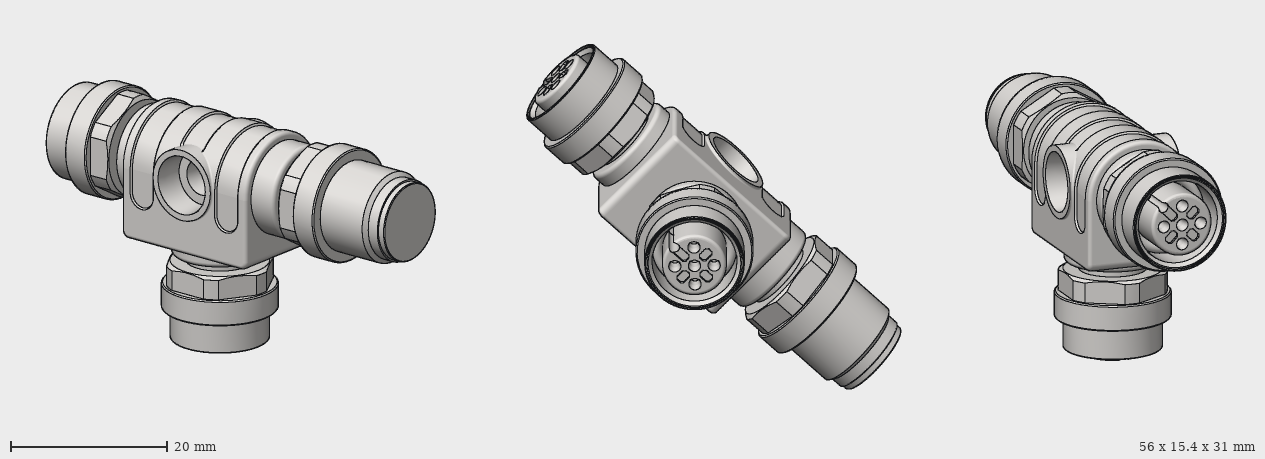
import cadquery as cq
import math


BODY_HALF_LENGTH = 10.3
BODY_WIDTH = 14.5
BODY_RADIUS = BODY_WIDTH / 2
BODY_BOTTOM = 9.45
BODY_CORNER_RADIUS = 1.0
BODY_EDGE_RADIUS = 0.5

RECESS_DEPTH = 0.3
RECESS_HALF_WIDTH = 1.9
RECESS_TAPER = 30.0
RECESS_SPACING = 7.0
RECESS_END_CENTRE = 3.1
RECESS_FLARE = RECESS_DEPTH * math.tan(math.radians(RECESS_TAPER))
RECESS_FLOOR_RADIUS = BODY_RADIUS - RECESS_DEPTH
RECESS_RIM_RADIUS = BODY_RADIUS + RECESS_DEPTH
RECESS_FLOOR_HALF_WIDTH = RECESS_HALF_WIDTH - RECESS_FLARE
RECESS_RIM_HALF_WIDTH = RECESS_HALF_WIDTH + RECESS_FLARE

BOSS_RADIUS = 4.75
BOSS_LENGTH = 15.4
BOSS_HALF_LENGTH = BOSS_LENGTH / 2
BOSS_BASE_RADIUS = 0.2
SELECTION_MARGIN = 0.05
COUNTERBORE_FLOOR_RADIUS = 3.7
COUNTERBORE_DEPTH = 4.0
HOLE_RADIUS = 2.2
BORE_FLARE = 0.2

COLLAR_DIAMETER = 12.5
COLLAR_RADIUS = COLLAR_DIAMETER / 2
COLLAR_EDGE_RADIUS = 0.55
NECK_RADIUS = 4.35
RUN_COLLAR_END = {"female": 12.25, "male": 14.0}
BRANCH_COLLAR_END = 11.15

RING_RADIUS = 7.5
RING_LENGTH = 3.4
RING_CHAMFER = 0.15
HEX_APOTHEM = 6.5
HEX_CORNER_RADIUS = 7.0
HEX_END_RADIUS = 6.4
HEX_CHAMFER_LENGTH = 0.35

FEMALE_RUN_TIP = 24.5
FEMALE_BRANCH_TIP = 23.5
FEMALE_RING_START = 4.9
FEMALE_HEX_LENGTH = 2.95
FEMALE_NECK_END = 12.9
SLEEVE_START = 0.85
SLEEVE_RADIUS = 6.4
SLEEVE_CHAMFER = 0.1
SLEEVE_MOUTH_RADIUS = 6.1
SLEEVE_STEP_DEPTH = 0.2
SLEEVE_CONE_RADIUS = 5.95
SLEEVE_BORE_RADIUS = 5.45
SLEEVE_CONE_END = 0.7
SLEEVE_BORE_DEPTH = 5.6

INSERT_RADIUS = 4.1
INSERT_EDGE_RADIUS = 0.45
CONTACT_CIRCLE_RADIUS = 2.5
CONTACT_HOLE_RADIUS = 0.6
CONTACT_HOLE_MOUTH_RADIUS = 0.8
CONTACT_FUNNEL_DEPTH = 1.1
CONTACT_HOLE_DEPTH = 2.8
POCKET_INNER_RADIUS = 1.25
POCKET_OUTER_RADIUS = 2.9
POCKET_WIDTH = 1.2
POCKET_CORNER = 0.3
POCKET_DEPTH = 0.4
KEY_RADIUS = 0.7
KEY_CENTRE_RADIUS = 3.5
LEFT_KEY_ANGLE = 135
BRANCH_KEY_ANGLE = 180

MALE_RUN_TIP = 31.5
TIP_RADIUS = 5.2
TIP_CHAMFER = 0.1
TIP_LENGTH = 0.95
RELIEF_RADIUS = 5.45
RELIEF_END = 2.45
THREAD_RADIUS = 6.05
THREAD_START = 2.95
MALE_RING_START = 9.9
MALE_HEX_LENGTH = 3.2
MALE_NECK_END = 17.9


def cylinder(radius, start, end):
    """Cylinder on the local Z axis between two heights."""
    return cq.Workplane("XY").workplane(offset=start).circle(radius).extrude(end - start)


def ring(start):
    """Round ring of the coupling nut."""
    return cylinder(RING_RADIUS, start, start + RING_LENGTH).edges().chamfer(RING_CHAMFER)


def hexagon(start, length):
    """Hexagon with rounded corners, two flats facing Y and its far end chamfered."""
    across_corners = 2 * HEX_APOTHEM / math.cos(math.radians(30))
    prism = cq.Workplane("XY").workplane(offset=start).polygon(6, across_corners).extrude(length)
    envelope = (
        cylinder(HEX_CORNER_RADIUS, start, start + length)
        .faces(">Z")
        .edges()
        .chamfer(HEX_CHAMFER_LENGTH, HEX_CORNER_RADIUS - HEX_END_RADIUS)
    )
    return prism.intersect(envelope)


def contact_pocket(outer_radius):
    """Shallow radial pocket along +X with its corners cut off."""
    return (
        cq.Workplane("XY")
        .box(outer_radius - POCKET_INNER_RADIUS, POCKET_WIDTH, POCKET_DEPTH, centered=(False, True, False))
        .edges("|Z")
        .chamfer(POCKET_CORNER)
        .translate((POCKET_INNER_RADIUS, 0, 0))
    )


def contact_insert(key_angle):
    """Contact carrier with five contact holes, four pockets and a key groove at key_angle."""
    end = SLEEVE_START + SLEEVE_BORE_DEPTH
    insert = cylinder(INSERT_RADIUS, 0, end).faces("<Z").edges().fillet(INSERT_EDGE_RADIUS)

    contact = (
        cq.Workplane("XZ")
        .lineTo(CONTACT_HOLE_MOUTH_RADIUS, 0)
        .lineTo(CONTACT_HOLE_RADIUS, CONTACT_FUNNEL_DEPTH)
        .lineTo(CONTACT_HOLE_RADIUS, CONTACT_HOLE_DEPTH)
        .lineTo(0, CONTACT_HOLE_DEPTH)
        .close()
        .revolve(360, (0, 0, 0), (0, 1, 0))
    )
    insert = insert.cut(contact)

    outer_contact = contact.translate((CONTACT_CIRCLE_RADIUS, 0, 0))
    for quarter in range(4):
        pocket_angle = key_angle + 90 * quarter
        pocket = contact_pocket(KEY_CENTRE_RADIUS if quarter == 0 else POCKET_OUTER_RADIUS)
        insert = insert.cut(pocket.rotate((0, 0, 0), (0, 0, 1), pocket_angle))
        insert = insert.cut(outer_contact.rotate((0, 0, 0), (0, 0, 1), pocket_angle + 45))

    key = (
        cylinder(KEY_RADIUS, 0, end)
        .translate((KEY_CENTRE_RADIUS, 0, 0))
        .rotate((0, 0, 0), (0, 0, 1), key_angle)
    )
    return insert.cut(key)


def female_connector(key_angle):
    """Socket connector with its tip at the origin, extending along +Z."""
    ring_end = FEMALE_RING_START + RING_LENGTH
    hex_end = ring_end + FEMALE_HEX_LENGTH
    bore_floor = SLEEVE_START + SLEEVE_BORE_DEPTH
    seal_radius = (SLEEVE_BORE_RADIUS - INSERT_RADIUS) / 2
    seal_centre = INSERT_RADIUS + seal_radius

    sleeve = (
        cylinder(SLEEVE_RADIUS, SLEEVE_START, ring_end)
        .faces("<Z")
        .edges()
        .chamfer(SLEEVE_CHAMFER)
    )
    cavity = (
        cq.Workplane("XZ")
        .moveTo(0, SLEEVE_START)
        .lineTo(SLEEVE_MOUTH_RADIUS, SLEEVE_START)
        .lineTo(SLEEVE_MOUTH_RADIUS, SLEEVE_START + SLEEVE_STEP_DEPTH)
        .lineTo(SLEEVE_CONE_RADIUS, SLEEVE_START + SLEEVE_STEP_DEPTH)
        .lineTo(SLEEVE_BORE_RADIUS, SLEEVE_START + SLEEVE_CONE_END)
        .lineTo(SLEEVE_BORE_RADIUS, bore_floor)
        .threePointArc((seal_centre, bore_floor - seal_radius), (INSERT_RADIUS, bore_floor))
        .lineTo(0, bore_floor)
        .close()
        .revolve(360, (0, 0, 0), (0, 1, 0))
    )
    return (
        sleeve.union(ring(FEMALE_RING_START))
        .union(hexagon(ring_end, FEMALE_HEX_LENGTH))
        .union(cylinder(NECK_RADIUS, hex_end, FEMALE_NECK_END))
        .cut(cavity)
        .union(contact_insert(key_angle))
    )


def male_connector():
    """Plug connector with its tip at the origin, extending along +Z."""
    ring_end = MALE_RING_START + RING_LENGTH
    hex_end = ring_end + MALE_HEX_LENGTH
    plug = (
        cq.Workplane("XZ")
        .moveTo(0, 0)
        .lineTo(TIP_RADIUS - TIP_CHAMFER, 0)
        .lineTo(TIP_RADIUS, TIP_CHAMFER)
        .lineTo(TIP_RADIUS, TIP_LENGTH)
        .lineTo(RELIEF_RADIUS, TIP_LENGTH)
        .lineTo(RELIEF_RADIUS, RELIEF_END)
        .lineTo(THREAD_RADIUS, THREAD_START)
        .lineTo(THREAD_RADIUS, ring_end)
        .lineTo(0, ring_end)
        .close()
        .revolve(360, (0, 0, 0), (0, 1, 0))
    )
    return (
        plug.union(ring(MALE_RING_START))
        .union(hexagon(ring_end, MALE_HEX_LENGTH))
        .union(cylinder(NECK_RADIUS, hex_end, MALE_NECK_END))
    )


def collar(end):
    """Collar along +Z from the origin, its free end rounded."""
    return cylinder(COLLAR_RADIUS, 0, end).faces(">Z").edges().fillet(COLLAR_EDGE_RADIUS)


def toward_plus_x(shape):
    """Turn a shape built along +Z to point along +X."""
    return shape.rotate((0, 0, 0), (0, 1, 0), 90)


def toward_minus_x(shape):
    """Turn a shape built along +Z to point along -X."""
    return shape.rotate((0, 0, 0), (0, 1, 0), -90)


def body_block():
    """Block with a half-round top and rounded edges."""
    block = (
        cq.Workplane("YZ")
        .workplane(offset=-BODY_HALF_LENGTH)
        .moveTo(-BODY_RADIUS, 0)
        .threePointArc((0, BODY_RADIUS), (BODY_RADIUS, 0))
        .lineTo(BODY_RADIUS, -BODY_BOTTOM)
        .lineTo(-BODY_RADIUS, -BODY_BOTTOM)
        .close()
        .extrude(2 * BODY_HALF_LENGTH)
    )
    block = block.edges("|Y and <Z").fillet(BODY_CORNER_RADIUS)
    return block.edges("%CIRCLE or |Z or (|X and <Z)").fillet(BODY_EDGE_RADIUS)


def add_boss(block):
    """Add the mounting boss along Y and round its base on both sides."""
    boss = cq.Workplane("XZ").circle(BOSS_RADIUS).extrude(BOSS_HALF_LENGTH, both=True)
    joined = block.union(boss)
    reach = BOSS_RADIUS + SELECTION_MARGIN
    for side in (-1, 1):
        base_edges = cq.selectors.BoxSelector(
            (-reach, side * BOSS_RADIUS, -reach),
            (reach, side * (BODY_RADIUS + SELECTION_MARGIN), reach),
        )
        joined = joined.edges(base_edges).fillet(BOSS_BASE_RADIUS)
    return joined


def dome_recess(centre_x):
    """Half-ring cutter with flared walls that sinks a band into the dome."""
    return (
        cq.Workplane("XY")
        .moveTo(centre_x - RECESS_FLOOR_HALF_WIDTH, RECESS_FLOOR_RADIUS)
        .lineTo(centre_x + RECESS_FLOOR_HALF_WIDTH, RECESS_FLOOR_RADIUS)
        .lineTo(centre_x + RECESS_RIM_HALF_WIDTH, RECESS_RIM_RADIUS)
        .lineTo(centre_x - RECESS_RIM_HALF_WIDTH, RECESS_RIM_RADIUS)
        .close()
        .revolve(180, (0, 0, 0), (1, 0, 0))
    )


def side_recess(centre_x):
    """Cutter that continues a recess down the -Y face to a round end."""
    slot_length = 2 * RECESS_END_CENTRE + 2 * RECESS_FLOOR_HALF_WIDTH
    slot = (
        cq.Workplane("XZ")
        .workplane(offset=RECESS_FLOOR_RADIUS)
        .center(centre_x, 0)
        .slot2D(slot_length, 2 * RECESS_FLOOR_HALF_WIDTH, 90)
        .extrude(2 * RECESS_DEPTH, taper=-RECESS_TAPER)
    )
    lower_half = cq.Workplane("XY").box(
        4 * BODY_RADIUS, 4 * BODY_RADIUS, 2 * BODY_BOTTOM, centered=(True, True, False)
    ).translate((0, 0, -2 * BODY_BOTTOM))
    return slot.intersect(lower_half)


def mounting_hole():
    """Cutter for the -Y half of the mounting hole: a flared counterbore, then the tapered hole."""
    floor = BOSS_HALF_LENGTH - COUNTERBORE_DEPTH
    return (
        cq.Workplane("XY")
        .moveTo(0, -BOSS_HALF_LENGTH)
        .lineTo(COUNTERBORE_FLOOR_RADIUS + BORE_FLARE, -BOSS_HALF_LENGTH)
        .lineTo(COUNTERBORE_FLOOR_RADIUS, -floor)
        .lineTo(HOLE_RADIUS + BORE_FLARE, -floor)
        .lineTo(HOLE_RADIUS, 0)
        .lineTo(0, 0)
        .close()
        .revolve(360, (0, 0, 0), (0, 1, 0))
    )


body = body_block()
for recess_x in (-RECESS_SPACING, 0, RECESS_SPACING):
    body = body.cut(dome_recess(recess_x))
for recess_x in (-RECESS_SPACING, RECESS_SPACING):
    side = side_recess(recess_x)
    body = body.cut(side).cut(side.mirror("XZ"))
body = add_boss(body)

body = body.union(toward_minus_x(collar(RUN_COLLAR_END["female"])))
body = body.union(toward_plus_x(collar(RUN_COLLAR_END["male"])))
body = body.union(collar(BRANCH_COLLAR_END).mirror("XY"))

socket_left = toward_plus_x(female_connector(LEFT_KEY_ANGLE)).translate((-FEMALE_RUN_TIP, 0, 0))
socket_down = female_connector(BRANCH_KEY_ANGLE).translate((0, 0, -FEMALE_BRANCH_TIP))
plug_right = toward_minus_x(male_connector()).translate((MALE_RUN_TIP, 0, 0))
body = body.union(socket_left).union(socket_down).union(plug_right)

hole_half = mounting_hole()
result = body.cut(hole_half).cut(hole_half.mirror("XZ"))